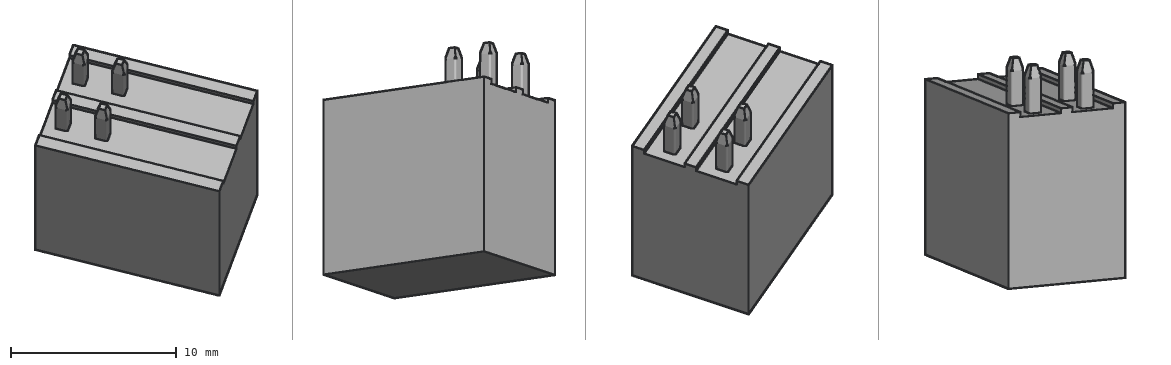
import cadquery as cq

length = 11.6
width = 7.8
total_height = 13.4
housing_height = 10.8

rib_height = 0.3
outer_rib_width = 0.8
middle_rib_width = 0.76
channel_width = (width - 2 * outer_rib_width - middle_rib_width) / 2
channel_offset = (middle_rib_width + channel_width) / 2
channel_floor = housing_height - rib_height

pin_size = 0.8
pin_edge_radius = 0.12
tip_size = 0.4
tip_height = 0.75
pin_pitch = 2.5
row_pitch = 3.5
first_pin_from_end = 1.1
pin_height = total_height - channel_floor


def make_housing():
    """Block standing on Z = 0, centred in X and Y, with two channels through its length."""
    housing = cq.Workplane("XY").box(length, width, housing_height, centered=(True, True, False))
    for side in (-1, 1):
        channel = (
            cq.Workplane("XY", origin=(0, side * channel_offset, channel_floor))
            .box(length, channel_width, rib_height, centered=(True, True, False))
        )
        housing = housing.cut(channel)
    return housing


def make_pin():
    """Rounded square shaft rising from Z = 0, trimmed to a four-sided taper at its end."""
    shaft = (
        cq.Workplane("XY")
        .box(pin_size, pin_size, pin_height, centered=(True, True, False))
        .edges("|Z")
        .fillet(pin_edge_radius)
    )
    shank_height = pin_height - tip_height
    shank = cq.Workplane("XY").box(pin_size, pin_size, shank_height, centered=(True, True, False))
    tip = (
        cq.Workplane("XY", origin=(0, 0, shank_height))
        .rect(pin_size, pin_size)
        .workplane(offset=tip_height)
        .rect(tip_size, tip_size)
        .loft(ruled=True)
    )
    return shaft.intersect(shank.union(tip))


result = make_housing()
pin = make_pin()
first_pin_x = -length / 2 + first_pin_from_end
for pin_x in (first_pin_x, first_pin_x + pin_pitch):
    for pin_y in (-row_pitch / 2, row_pitch / 2):
        result = result.union(pin.translate((pin_x, pin_y, channel_floor)))